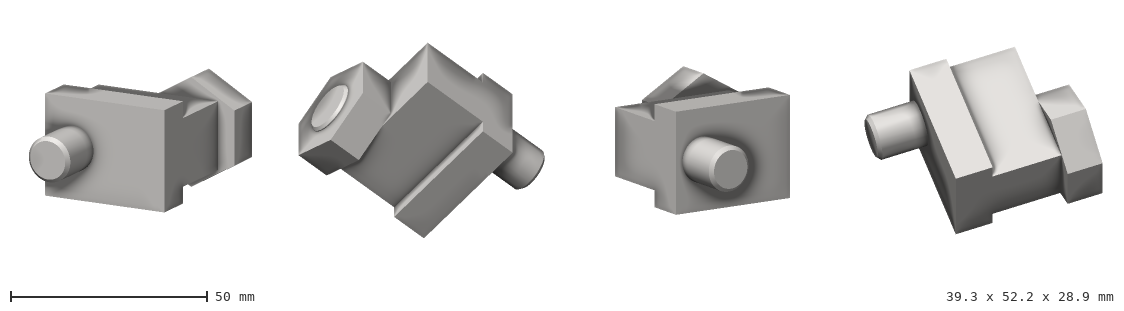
import cadquery as cq

block_length = 34.5
flange_height = 26.9
flange_depth = 10.0
stem_height = 18.1
stem_depth = 18.55

pin_diameter = 12.0
pin_tip_diameter = 10.1
pin_length = 13.25
pin_center_x = 8.0

hex_corner_diameter = 28.9
hex_center_x = 26.75
hex_depth = 9.45

stub_diameter = 14.0
stub_length = 1.0
stub_chamfer = 0.75

stem_back = flange_depth + stem_depth
hex_back = stem_back + hex_depth


def plane_at(x, y):
    """Plane facing +Y, with its local x axis along +Z."""
    return cq.Workplane(cq.Plane(origin=(x, y, 0), xDir=(0, 0, 1), normal=(0, 1, 0)))


def block_layer(front, depth, height):
    """Full-length slab centred on Z = 0."""
    slab = cq.Workplane("XY").box(block_length, depth, height, centered=(False, False, True))
    return slab.translate((0, front, 0))


def pin():
    chamfer = (pin_diameter - pin_tip_diameter) / 2
    shank = plane_at(pin_center_x, -pin_length).circle(pin_diameter / 2).extrude(pin_length)
    return shank.faces("<Y").chamfer(chamfer)


def hex_head():
    return plane_at(hex_center_x, stem_back).polygon(6, hex_corner_diameter).extrude(hex_depth)


def stub():
    disc = plane_at(hex_center_x, hex_back).circle(stub_diameter / 2).extrude(stub_length)
    return disc.faces(">Y").chamfer(stub_chamfer)


flange = block_layer(0, flange_depth, flange_height)
stem = block_layer(flange_depth, stem_depth, stem_height)
result = flange.union(stem).union(pin()).union(hex_head()).union(stub())